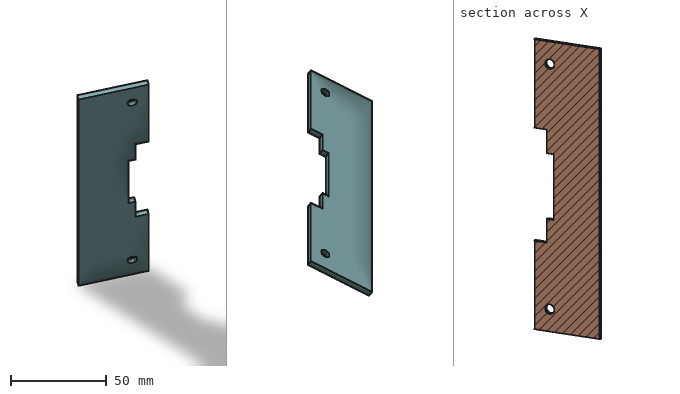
import cadquery as cq

thickness = 3.0
width = 38.0
height = 160.0

outer_notch_height = 62.0
outer_notch_depth = 7.2
inner_notch_height = 36.0
inner_notch_depth = 11.0

hole_diameter = 5.1
hole_from_side = 9.0
hole_from_end = 12.5

notched_edge_y = width / 2


def notch_step(step_height, step_depth):
    """Rectangular cutter reaching step_depth inward from the +Y edge."""
    return cq.Workplane("XY").box(thickness, 2 * step_depth, step_height).translate((0, notched_edge_y, 0))


plate = cq.Workplane("XY").box(thickness, width, height)

plate = plate.cut(notch_step(outer_notch_height, outer_notch_depth))
plate = plate.cut(notch_step(inner_notch_height, inner_notch_depth))

hole_y = notched_edge_y - hole_from_side
hole_z = height / 2 - hole_from_end
holes = (
    cq.Workplane("YZ")
    .pushPoints([(hole_y, hole_z), (hole_y, -hole_z)])
    .circle(hole_diameter / 2)
    .extrude(thickness, both=True)
)

result = plate.cut(holes)